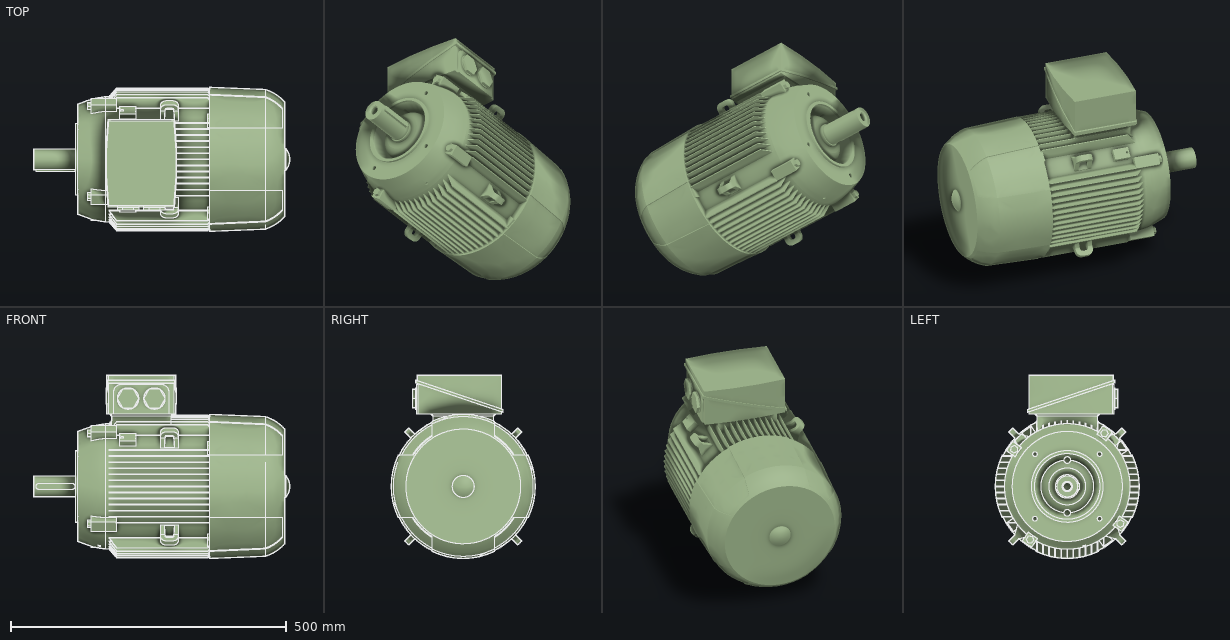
import cadquery as cq
import math


SPIGOT_FACE_X = 76.0
FLANGE_FACE_X = 80.0
SHIELD_BACK_X = 130.5
FRAME_BACK_X = 319.5
COVER_BREAK_X = 420.5
COVER_BACK_X = 455.5
TOTAL_LENGTH = 465.0

OUTER_RADIUS = 262.0 / 2
CORE_RADIUS = 114.0
TOTAL_HEIGHT = 333.0
BOX_TOP_Z = TOTAL_HEIGHT - OUTER_RADIUS
QUARTER_TURNS = [0, 90, 180, 270]
DRILL_POINT_ANGLE = 120
DRILL_TIP_RATIO = 1 / math.tan(math.radians(DRILL_POINT_ANGLE / 2))

SHAFT_RADIUS = 19.0
SHOULDER_RADIUS = 21.5
CENTRE_HOLE_RADIUS = 7.5
CENTRE_HOLE_DEPTH = 28.0
CENTRE_CHAMFER = 2.0
KEY_START_X = 4.0
KEY_LENGTH = 71.0
KEY_WIDTH = 10.5
KEY_SEAT = 14.5
KEY_TOP = 22.5

FLANGE_RADIUS = 100.0
RIM_RADIUS = 109.0
SPIGOT_RADIUS = 65.0
CAVITY_MOUTH_RADIUS = 59.5
CAVITY_FLOOR_RADIUS = 48.0
CAVITY_FLOOR_X = 107.0
HUB_RADIUS = 33.5
HUB_BULGE_X = 92.5
HUB_BULGE_RADIUS = 43.2
HUB_FACE_X = 86.0
FLANGE_HOLE_OFFSET = 58.5
FLANGE_HOLE_RADIUS = 4.0
FLANGE_HOLE_DEPTH = 18.5
POCKET_RADIUS = 6.0
POCKET_END_X = 121.0
DRAIN_X = 119.5
DRAIN_ANGLE = -74
DRAIN_RADIUS = 2.5
DRAIN_DEPTH = 4.5

LUG_ANGLE = 55
LUG_START_X = 104.0
LUG_END_X = 150.5
LUG_INNER_RADIUS = 107.0
LUG_OUTER_RADIUS = 128.0
LUG_WIDTH = 20.5
BOLT_CIRCLE_RADIUS = 117.5
BOLT_HEAD_DIAMETER = 14.0
BOLT_HEAD_HEIGHT = 6.0

FIN_START_X = 136.5
FIN_RADIUS = 129.7
FIN_FULL_X = 150.5
FIN_END_CHAMFER = 3.3
FIN_THICKNESS = 1.5
FINS_EACH_WAY = 6
LAST_FIN_OFFSET = 66.0
FIN_PITCH = LAST_FIN_OFFSET / FINS_EACH_WAY

EYE_CENTRE_X = 246.5
EYE_LENGTH = 32.5
EYE_ANGLE = 45
EYE_TIP_RADIUS = 145.0
EYE_NECK_RADIUS = 129.5
EYE_PLATE_THICKNESS = 10.5
EYE_BASE_RADIUS = 109.5
EYE_BASE_WIDTH = 33.5
EYE_CORNER_RADIUS = 11.0
EYE_SLOT_WIDTH = 18.0
EYE_SLOT_TOP_WIDTH = 14.5
EYE_SLOT_FILLET = 3.5
EYE_SLOT_TOP_RADIUS = 136.0

PAD_START_X = 156.2
PAD_LENGTH = 29.5
PAD_WIDTH = 19.5
PAD_OUTER_RADIUS = 126.0
PAD_ANGLES = [-45, -135]
PAD_HOLE_INSET = 4.0
PAD_HOLE_RADIUS = 2.5
PAD_HOLE_DEPTH = 7.0

NECK_START_X = 141.5
NECK_END_X = 249.5
NECK_WIDTH = 110.0
NECK_BASE_Z = 93.0
BOX_BASE_Z = 131.0
NECK_COLLAR = 3.5

COVER_BREAK_RADIUS = 127.0
COVER_BACK_RADIUS = 104.0
COVER_ARC_X = 441.0
COVER_ARC_RADIUS = 117.0
CAP_RADIUS = 20.0
CAP_LIP = 2.0
CAP_HEIGHT = TOTAL_LENGTH - COVER_BACK_X - CAP_LIP
CAP_CURVE = (CAP_RADIUS**2 + CAP_HEIGHT**2) / (2 * CAP_HEIGHT)
PANEL_DEPTH = 1.5
PANEL_OFFSET = 56.5
PANEL_END_X = 451.5
TAB_ANGLE = 35.5
TAB_THICKNESS = 3.5
TAB_WIDTH = 20.0
TAB_OUTER_RADIUS = 127.0
TAB_INNER_RADIUS = 109.5

BOX_CENTRE_X = 195.5
BOX_CORNER_LENGTH = 118.0
BOX_SIDE_BULGE = 4.0
BOX_BACK_Y = 69.8
BASE_FRONT_Y = -82.5
LID_FRONT_Y = -83.5
SEAM_BACK_Z = 135.5
SEAM_FRONT_Z = 187.0
SEAM_MARGIN = 23.2
RIM_HEIGHT = 5.0
RIM_OVERHANG = 1.5
RIM_END_OVERHANG = 3.0
GLAND_PLATE_LENGTH = 100.5
GLAND_PLATE_HEIGHT = 54.0
GLAND_PLATE_CORNER = 14.0
GLAND_PLATE_THICKNESS = 3.0
PLUG_SPACING = 48.0
PLUG_CENTRE_Z = 159.5
PLUG_COLLAR_RADIUS = 19.5
PLUG_COLLAR_HEIGHT = 2.0
PLUG_HEX_DIAMETER = 39.0
PLUG_HEIGHT = 7.0


def cylinder_x(radius, start_x, end_x, y=0.0, z=0.0):
    """Cylinder parallel to the X axis."""
    return cq.Workplane("YZ", origin=(start_x, y, z)).circle(radius).extrude(end_x - start_x)


def turned(outline):
    """Revolve an outline of (X, radius) about the X axis."""
    return outline.close().revolve(360, (0, 0, 0), (1, 0, 0))


def turned_about_x(body, angle):
    return body.rotate((0, 0, 0), (1, 0, 0), angle)


def drilled_hole(radius, start_x, end_x, y=0.0, z=0.0):
    """Hole tool along +X with a cone-shaped bottom."""
    bore = cylinder_x(radius, start_x, end_x, y, z)
    cone = cq.Solid.makeCone(radius, 0, radius * DRILL_TIP_RATIO, cq.Vector(end_x, y, z), cq.Vector(1, 0, 0))
    return bore.union(cq.Workplane(cone))


def radial_block(start_x, end_x, inner_radius, outer_radius, width, angle):
    """Block on the -Y side, turned up by an angle from the horizontal."""
    size = (end_x - start_x, outer_radius - inner_radius, width)
    block = cq.Workplane("XY").box(*size).translate(
        ((start_x + end_x) / 2, -(inner_radius + outer_radius) / 2, 0)
    )
    return turned_about_x(block, -angle)


def bolting_lugs(start_x, end_x):
    lugs = cq.Workplane("XY")
    for turn in QUARTER_TURNS:
        lugs = lugs.add(
            radial_block(start_x, end_x, LUG_INNER_RADIUS, LUG_OUTER_RADIUS, LUG_WIDTH, LUG_ANGLE + turn)
        )
    return lugs.combine()


def make_key():
    centre_x = KEY_START_X + KEY_LENGTH / 2
    return (
        cq.Workplane("XZ", origin=(centre_x, -KEY_SEAT, 0))
        .slot2D(KEY_LENGTH, KEY_WIDTH)
        .extrude(KEY_TOP - KEY_SEAT)
    )


def make_shaft(key):
    shaft = cylinder_x(SHAFT_RADIUS, 0, FLANGE_FACE_X)
    shaft = shaft.union(cylinder_x(SHOULDER_RADIUS, FLANGE_FACE_X, SHIELD_BACK_X))
    shaft = shaft.cut(drilled_hole(CENTRE_HOLE_RADIUS, 0, CENTRE_HOLE_DEPTH))
    mouth_edge = cq.selectors.RadiusNthSelector(0)
    shaft = shaft.faces("<X").edges(mouth_edge).chamfer(CENTRE_CHAMFER)
    return shaft.cut(key)


def make_end_shield():
    shield = turned(
        cq.Workplane("XY")
        .moveTo(SHIELD_BACK_X, SHOULDER_RADIUS)
        .lineTo(HUB_FACE_X, SHOULDER_RADIUS)
        .lineTo(HUB_FACE_X, HUB_RADIUS)
        .threePointArc((HUB_BULGE_X, HUB_BULGE_RADIUS), (CAVITY_FLOOR_X, CAVITY_FLOOR_RADIUS))
        .lineTo(FLANGE_FACE_X, CAVITY_MOUTH_RADIUS)
        .lineTo(SPIGOT_FACE_X, CAVITY_MOUTH_RADIUS)
        .lineTo(SPIGOT_FACE_X, SPIGOT_RADIUS)
        .lineTo(FLANGE_FACE_X, SPIGOT_RADIUS)
        .lineTo(FLANGE_FACE_X, FLANGE_RADIUS)
        .threePointArc((LUG_START_X, RIM_RADIUS), (SHIELD_BACK_X, CORE_RADIUS))
    )
    shield = shield.union(bolting_lugs(LUG_START_X, SHIELD_BACK_X))

    head = (
        cq.Workplane("YZ", origin=(LUG_START_X, -BOLT_CIRCLE_RADIUS, 0))
        .polygon(6, BOLT_HEAD_DIAMETER)
        .extrude(-BOLT_HEAD_HEIGHT)
    )
    for turn in QUARTER_TURNS:
        shield = shield.union(turned_about_x(head, -(LUG_ANGLE + turn)))

    hole_end_x = FLANGE_FACE_X + FLANGE_HOLE_DEPTH
    for y in (-FLANGE_HOLE_OFFSET, FLANGE_HOLE_OFFSET):
        for z in (-FLANGE_HOLE_OFFSET, FLANGE_HOLE_OFFSET):
            shield = shield.cut(drilled_hole(FLANGE_HOLE_RADIUS, FLANGE_FACE_X, hole_end_x, y, z))

    for z in (CAVITY_FLOOR_RADIUS, -CAVITY_FLOOR_RADIUS):
        shield = shield.cut(drilled_hole(POCKET_RADIUS, HUB_FACE_X, POCKET_END_X, z=z))

    drain = (
        cq.Workplane("XZ", origin=(DRAIN_X, -CORE_RADIUS, 0))
        .circle(DRAIN_RADIUS)
        .extrude(-DRAIN_DEPTH)
    )
    return shield.cut(turned_about_x(drain, -DRAIN_ANGLE))


def make_fins():
    """Horizontal and vertical fins, trimmed to a round envelope with chamfered ends."""
    length = FRAME_BACK_X - FIN_START_X
    middle_x = (FIN_START_X + FRAME_BACK_X) / 2
    fins = cq.Workplane("XY")
    for index in range(-FINS_EACH_WAY, FINS_EACH_WAY + 1):
        offset = index * FIN_PITCH
        upright = cq.Workplane("XY").box(length, FIN_THICKNESS, 2 * FIN_RADIUS)
        level = cq.Workplane("XY").box(length, 2 * FIN_RADIUS, FIN_THICKNESS)
        fins = fins.add(upright.translate((middle_x, offset, 0)))
        fins = fins.add(level.translate((middle_x, 0, offset)))
    envelope = turned(
        cq.Workplane("XY")
        .moveTo(FIN_START_X, 0)
        .lineTo(FIN_START_X, CORE_RADIUS)
        .lineTo(FIN_FULL_X, FIN_RADIUS)
        .lineTo(FRAME_BACK_X - FIN_END_CHAMFER, FIN_RADIUS)
        .lineTo(FRAME_BACK_X, FIN_RADIUS - FIN_END_CHAMFER)
        .lineTo(FRAME_BACK_X, 0)
    )
    return fins.combine().intersect(envelope)


def make_lifting_eye():
    """Slotted eye on a flared foot, pointing to -Y."""
    half_plate = EYE_PLATE_THICKNESS / 2
    half_base = EYE_BASE_WIDTH / 2
    eye = (
        cq.Workplane("YZ", origin=(EYE_CENTRE_X - EYE_LENGTH / 2, 0, 0))
        .moveTo(-EYE_BASE_RADIUS, -half_base)
        .lineTo(-EYE_NECK_RADIUS, -half_plate)
        .lineTo(-EYE_TIP_RADIUS, -half_plate)
        .lineTo(-EYE_TIP_RADIUS, half_plate)
        .lineTo(-EYE_NECK_RADIUS, half_plate)
        .lineTo(-EYE_BASE_RADIUS, half_base)
        .close()
        .extrude(EYE_LENGTH)
    )
    eye = eye.faces("<Y").edges("|Z").fillet(EYE_CORNER_RADIUS)
    slot = (
        cq.Workplane("XY", origin=(EYE_CENTRE_X, 0, -half_base))
        .moveTo(-EYE_SLOT_WIDTH / 2, -CORE_RADIUS)
        .lineTo(-EYE_SLOT_TOP_WIDTH / 2, -EYE_SLOT_TOP_RADIUS)
        .lineTo(EYE_SLOT_TOP_WIDTH / 2, -EYE_SLOT_TOP_RADIUS)
        .lineTo(EYE_SLOT_WIDTH / 2, -CORE_RADIUS)
        .close()
        .extrude(EYE_BASE_WIDTH)
        .faces("<Y")
        .edges("|Z")
        .fillet(EYE_SLOT_FILLET)
    )
    return eye.cut(slot)


def make_earthing_pad():
    """Rectangular pad with a screw hole, pointing to -Y."""
    pad_end_x = PAD_START_X + PAD_LENGTH
    pad = radial_block(PAD_START_X, pad_end_x, LUG_INNER_RADIUS, PAD_OUTER_RADIUS, PAD_WIDTH, 0)
    hole = (
        cq.Workplane("XZ", origin=(PAD_START_X + PAD_HOLE_INSET, -PAD_OUTER_RADIUS, 0))
        .circle(PAD_HOLE_RADIUS)
        .extrude(-PAD_HOLE_DEPTH)
    )
    return pad.cut(hole)


def make_box_neck():
    length = NECK_END_X - NECK_START_X
    neck_top_z = BOX_BASE_Z - NECK_COLLAR
    return (
        cq.Workplane("XY", origin=((NECK_START_X + NECK_END_X) / 2, 0, NECK_BASE_Z))
        .rect(length, NECK_WIDTH)
        .extrude(neck_top_z - NECK_BASE_Z)
        .faces(">Z")
        .workplane()
        .rect(length, NECK_WIDTH)
        .extrude(NECK_COLLAR, taper=-45)
    )


def make_frame():
    frame = cylinder_x(CORE_RADIUS, SHIELD_BACK_X, FRAME_BACK_X)
    frame = frame.union(make_fins())
    frame = frame.union(bolting_lugs(SHIELD_BACK_X, LUG_END_X))
    frame = frame.union(make_box_neck())
    eye = make_lifting_eye()
    for turn in QUARTER_TURNS:
        frame = frame.union(turned_about_x(eye, EYE_ANGLE + turn))
    pad = make_earthing_pad()
    for angle in PAD_ANGLES:
        frame = frame.union(turned_about_x(pad, angle))
    return frame


def cover_dome(inset, end_x):
    """Tapered cover with a rounded back edge, drawn in from the outer surface by an inset."""
    return turned(
        cq.Workplane("XY")
        .moveTo(FRAME_BACK_X, 0)
        .lineTo(FRAME_BACK_X, OUTER_RADIUS - inset)
        .lineTo(COVER_BREAK_X, COVER_BREAK_RADIUS - inset)
        .threePointArc((COVER_ARC_X, COVER_ARC_RADIUS - inset), (COVER_BACK_X, COVER_BACK_RADIUS - inset))
        .lineTo(COVER_BACK_X, 0)
    ).intersect(cylinder_x(OUTER_RADIUS, FRAME_BACK_X, end_x))


def make_fan_cover():
    skin = cover_dome(0, PANEL_END_X).cut(cover_dome(PANEL_DEPTH, PANEL_END_X))
    length = PANEL_END_X - FRAME_BACK_X
    corner = cq.Workplane("XY").box(length, OUTER_RADIUS, OUTER_RADIUS, centered=False)
    panel = skin.intersect(corner.translate((FRAME_BACK_X, PANEL_OFFSET, PANEL_OFFSET)))
    cover = cover_dome(0, COVER_BACK_X)
    for turn in QUARTER_TURNS:
        cover = cover.cut(turned_about_x(panel, turn))

    cap = turned(
        cq.Workplane("XY")
        .moveTo(COVER_BACK_X, 0)
        .lineTo(COVER_BACK_X, CAP_RADIUS)
        .lineTo(COVER_BACK_X + CAP_LIP, CAP_RADIUS)
        .radiusArc((TOTAL_LENGTH, 0), CAP_CURVE)
    )
    return cover.union(cap)


def make_cover_tabs(frame):
    tabs = cq.Workplane("XY")
    for turn in QUARTER_TURNS:
        tabs = tabs.add(
            radial_block(
                FRAME_BACK_X - TAB_THICKNESS, FRAME_BACK_X, TAB_INNER_RADIUS,
                TAB_OUTER_RADIUS, TAB_WIDTH, TAB_ANGLE + turn,
            )
        )
    return tabs.combine().cut(frame)


def box_prism(front_y, side_overhang=0.0, end_overhang=0.0):
    """Full-height block with bulging sides."""
    half = BOX_CORNER_LENGTH / 2 + side_overhang
    left_x = BOX_CENTRE_X - half
    right_x = BOX_CENTRE_X + half
    back_y = BOX_BACK_Y + end_overhang
    near_y = front_y - end_overhang
    middle_y = (back_y + near_y) / 2
    return (
        cq.Workplane("XY", origin=(0, 0, BOX_BASE_Z))
        .moveTo(left_x, near_y)
        .lineTo(right_x, near_y)
        .threePointArc((right_x + BOX_SIDE_BULGE, middle_y), (right_x, back_y))
        .lineTo(left_x, back_y)
        .threePointArc((left_x - BOX_SIDE_BULGE, middle_y), (left_x, near_y))
        .close()
        .extrude(BOX_TOP_Z - BOX_BASE_Z)
    )


def above_seam(height):
    """Wedge that reaches from the sloping seam up to a height above it."""
    slope = (SEAM_FRONT_Z - SEAM_BACK_Z) / (LID_FRONT_Y - BOX_BACK_Y)
    back_y = BOX_BACK_Y + SEAM_MARGIN
    front_y = LID_FRONT_Y - SEAM_MARGIN
    back_z = SEAM_BACK_Z + slope * SEAM_MARGIN
    front_z = SEAM_FRONT_Z - slope * SEAM_MARGIN
    return (
        cq.Workplane("YZ", origin=(BOX_CENTRE_X, 0, 0))
        .moveTo(back_y, back_z)
        .lineTo(front_y, front_z)
        .lineTo(front_y, front_z + height)
        .lineTo(back_y, back_z + height)
        .close()
        .extrude(BOX_CORNER_LENGTH, both=True)
    )


def make_lid():
    lid = box_prism(LID_FRONT_Y).intersect(above_seam(TOTAL_HEIGHT))
    rim = box_prism(LID_FRONT_Y, RIM_OVERHANG, RIM_END_OVERHANG).intersect(above_seam(RIM_HEIGHT))
    return lid.union(rim)


def make_terminal_box():
    box = box_prism(BASE_FRONT_Y).cut(above_seam(TOTAL_HEIGHT))

    plate = (
        cq.Workplane("XZ", origin=(BOX_CENTRE_X, BASE_FRONT_Y, BOX_BASE_Z + GLAND_PLATE_HEIGHT / 2))
        .rect(GLAND_PLATE_LENGTH, GLAND_PLATE_HEIGHT)
        .extrude(GLAND_PLATE_THICKNESS)
        .faces(">Z")
        .edges("|Y")
        .fillet(GLAND_PLATE_CORNER)
    )
    box = box.union(plate)

    plate_face_y = BASE_FRONT_Y - GLAND_PLATE_THICKNESS
    for side in (-1, 1):
        plug_x = BOX_CENTRE_X + side * PLUG_SPACING / 2
        seat = cq.Workplane("XZ", origin=(plug_x, plate_face_y, PLUG_CENTRE_Z))
        box = box.union(seat.circle(PLUG_COLLAR_RADIUS).extrude(PLUG_COLLAR_HEIGHT))
        box = box.union(seat.polygon(6, PLUG_HEX_DIAMETER).extrude(PLUG_HEIGHT))
    return box


key = make_key()
shaft = make_shaft(key)
end_shield = make_end_shield()
frame = make_frame()
fan_cover = make_fan_cover().union(make_cover_tabs(frame))
terminal_box = make_terminal_box()
lid = make_lid()

result = cq.Compound.makeCompound(
    [body.val() for body in (key, shaft, end_shield, frame, fan_cover, terminal_box, lid)]
)